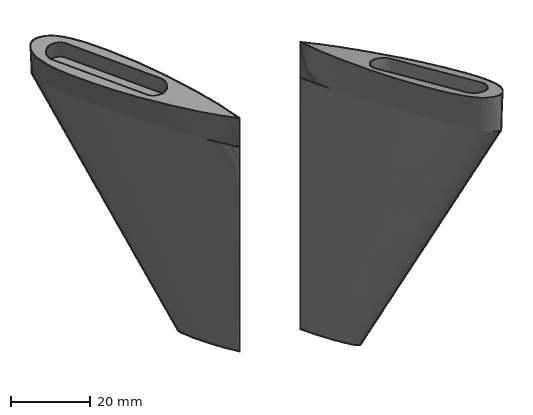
import cadquery as cq

root_chord = 60.0
root_thickness = 12.7
height = 80.0

collar_height = 10.0
collar_base_thickness = 7.2
tip_chord = 18.0
tip_thickness = 2.2

slot_length = 34.0
slot_width = 7.0
slot_depth = 5.0
slot_nose_gap = 4.6

foil_profile = [
    (0.0, 0.0),
    (0.036, 0.57),
    (0.1, 0.84),
    (0.3, 1.0),
    (0.5, 0.91),
    (0.68, 0.69),
    (0.84, 0.41),
    (1.0, 0.0),
]


def foil_section(chord, thickness, z):
    """Symmetric foil wire with its sharp tail on the common trailing edge."""
    nose_x = root_chord - chord
    half_thickness = thickness / 2
    upper = [(nose_x + u * chord, v * half_thickness) for u, v in foil_profile]
    lower = [(x, -y) for x, y in reversed(upper)]
    outline = upper[::-1] + lower[::-1][1:]
    return cq.Workplane("XY").workplane(offset=z).spline(outline).wire().val()


def foil_loft(upper_section, lower_section):
    """Straight-sided body between two foil sections."""
    return cq.Workplane(obj=cq.Solid.makeLoft([upper_section, lower_section], True))


root = foil_section(root_chord, root_thickness, 0)
collar_base = foil_section(root_chord, collar_base_thickness, -collar_height)
tip = foil_section(tip_chord, tip_thickness, -height)

collar = foil_loft(root, collar_base)
blade = foil_loft(collar_base, tip)

slot = (
    cq.Workplane("XY")
    .center(slot_nose_gap + slot_length / 2, 0)
    .slot2D(slot_length, slot_width)
    .extrude(-slot_depth)
)

result = collar.union(blade).cut(slot)